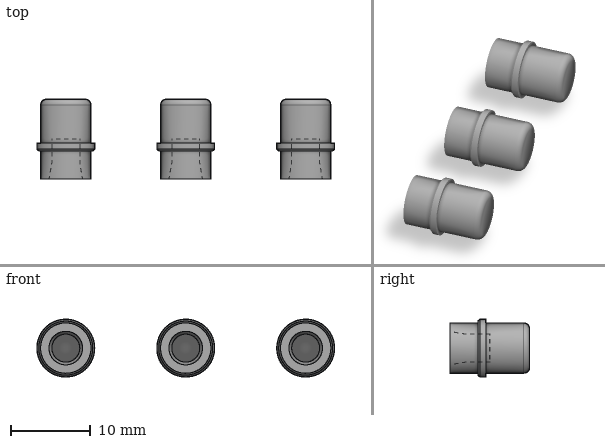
import cadquery as cq

plug_length = 10.0
body_radius = 6.3 / 2
nose_radius = 0.75

collar_radius = 7.25 / 2
collar_start = 3.5
collar_end = 4.5
collar_chamfer = 0.25

bore_mouth_radius = 4.2 / 2
bore_radius = 3.5 / 2
taper_depth = 2.0
bore_depth = 5.0

plug_count = 3
plug_pitch = 15.0


def make_plug():
    """Revolve the half section about Y, with the open end at Y = 0."""
    half_section = (
        cq.Workplane("XY")
        .moveTo(0, bore_depth)
        .lineTo(bore_radius, bore_depth)
        .lineTo(bore_radius, taper_depth)
        .lineTo(bore_mouth_radius, 0)
        .lineTo(body_radius, 0)
        .lineTo(body_radius, collar_start)
        .lineTo(collar_radius - collar_chamfer, collar_start)
        .lineTo(collar_radius, collar_start + collar_chamfer)
        .lineTo(collar_radius, collar_end)
        .lineTo(body_radius, collar_end)
        .lineTo(body_radius, plug_length - nose_radius)
        .radiusArc((body_radius - nose_radius, plug_length), -nose_radius)
        .lineTo(0, plug_length)
        .close()
    )
    return half_section.revolve(360, (0, 0, 0), (0, 1, 0))


plugs = []
for index in range(plug_count):
    offset = (index - (plug_count - 1) / 2) * plug_pitch
    plugs.append(make_plug().translate((offset, 0, 0)))

result = cq.Compound.makeCompound([plug.val() for plug in plugs])